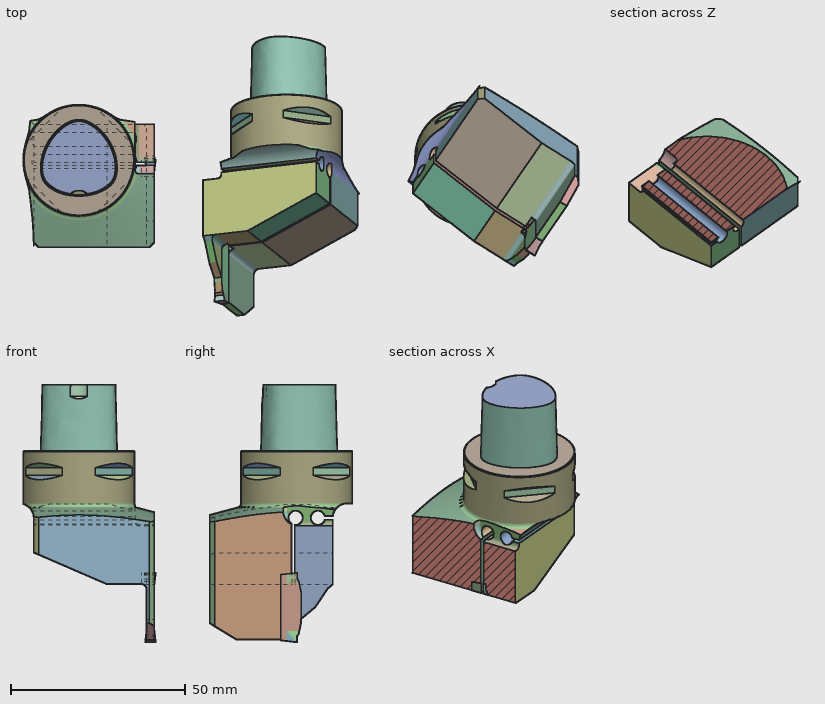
import cadquery as cq
import math


shank_height = 19.0
shank_width = 22.0
shank_lobe = 0.7
shank_taper = 1 / 40
curve_points = 72

notch_radius = 3.4
notch_inner_y = -8.66
notch_depth = 3.35
drill_tip_slope = math.radians(31)

flange_radius = 16.0
flange_height = 15.15
flange_chamfer = 0.25
groove_floor_radius = 14.15
groove_mid_z = -5.95
groove_floor_width = 2.1
groove_mouth_width = 4.7

cone_slope = math.radians(15)
neck_fillet = 1.15
head_left = -13.0
head_right = 21.7
head_front = -25.0
head_back = 10.4
head_bottom = -38.3
flare_radius = 4.0
corner_chamfer = 1.45
slope_start_z = -29.2
slope_end_x = 8.0

plate_left = 19.4
plate_bottom = -54.2
plate_fillet = 1.5
plate_cut_y = -17.3
plate_cut_z = -49.5
jaw_knee_y = 8.9
jaw_knee_z = -39.6
jaw_bend_y = 5.35
jaw_bend_z = -44.9
jaw_tip_z = -48.3

joint_z = -19.25
joint_radius = 2.02
outer_hole_y = 6.1
inner_hole_y = -0.31
hinge_slot_width = 1.05
clamp_slot_left_y = -0.62
clamp_slot_right_y = -1.47

pocket_left = 16.1
pocket_front = -3.9
pocket_floor = -21.5
pocket_front_radius = 4.3
pocket_fillet = 1.1

insert_top = -35.0
insert_length = 20.0
insert_foot_y = -4.6
insert_crown_y = 1.25
rake_y = 0.12
rake_length = 1.7
shoulder_y = 0.6
shoulder_length = 2.4
crown_end_length = 5.5
end_relief = 0.55
cutting_width = 3.1
flare_length = 3.3
flank_end_y = -2.9

overrun = 5.0

insert_bottom = insert_top - insert_length
insert_mid_z = (insert_top + insert_bottom) / 2
insert_mid_x = (plate_left + head_right) / 2
insert_thickness = head_right - plate_left


def box(x0, x1, y0, y1, z0, z1):
    """Box between two opposite corners."""
    return cq.Workplane("XY").box(x1 - x0, y1 - y0, z1 - z0, centered=False).translate((x0, y0, z0))


def extrude_x(outline, x0, x1):
    """Extrude an outline of the YZ plane from x0 to x1."""
    return outline.extrude(x1 - x0).translate((x0, 0, 0))


def extrude_y(outline, y0, y1):
    """Extrude an outline of the XZ plane from y0 to y1."""
    return outline.extrude(y0 - y1).translate((0, y0, 0))




def lobe_curve(mean_radius):
    """Points of the three-lobed curve whose support distance is R + e cos(3a), one lobe on +Y."""
    points = []
    for i in range(curve_points):
        angle = 2 * math.pi * i / curve_points
        phase = 3 * (angle - math.pi / 2)
        support = mean_radius + shank_lobe * math.cos(phase)
        slope = -3 * shank_lobe * math.sin(phase)
        x = support * math.cos(angle) - slope * math.sin(angle)
        y = support * math.sin(angle) + slope * math.cos(angle)
        points.append((x, y))
    return points


def make_shank():
    base_radius = shank_width / 2
    top_radius = base_radius - shank_taper * shank_height
    shank = (
        cq.Workplane("XY")
        .spline(lobe_curve(base_radius), periodic=True).close()
        .workplane(offset=shank_height)
        .spline(lobe_curve(top_radius), periodic=True).close()
        .loft(ruled=True)
    )
    return shank.cut(make_notch())


def make_notch():
    """Vertical drill shape with a conical tip."""
    wall_end = shank_height - notch_depth
    tip = wall_end - notch_radius * math.tan(drill_tip_slope)
    drill = (
        cq.Workplane("XZ")
        .moveTo(0, tip)
        .lineTo(notch_radius, wall_end)
        .lineTo(notch_radius, shank_height + overrun)
        .lineTo(0, shank_height + overrun)
        .close()
        .revolve(360, (0, 0), (0, 1))
    )
    return drill.translate((0, notch_inner_y - notch_radius, 0))


def make_flange():
    flange = cq.Workplane("XY").circle(flange_radius).extrude(-flange_height)
    flange = flange.faces(">Z").edges().chamfer(flange_chamfer)
    for i in range(4):
        flange = flange.cut(make_groove().rotate((0, 0, 0), (0, 0, 1), 45 + 90 * i))
    return flange


def make_groove():
    """Straight trapezoidal groove across the +X side of the flange."""
    depth = flange_radius - groove_floor_radius
    widening = (groove_mouth_width - groove_floor_width) / 2 / depth
    outer_half = groove_mouth_width / 2 + widening * overrun
    outer_x = flange_radius + overrun
    floor_half = groove_floor_width / 2
    outline = cq.Workplane("XZ").polyline([
        (groove_floor_radius, groove_mid_z - floor_half),
        (outer_x, groove_mid_z - outer_half),
        (outer_x, groove_mid_z + outer_half),
        (groove_floor_radius, groove_mid_z + floor_half),
    ]).close()
    return extrude_y(outline, -flange_radius, flange_radius)




def make_cone_envelope():
    """Revolved space below the flange: a quarter-round concave fillet above a shallow cone."""
    far_radius = 40.0
    base_z = insert_bottom - overrun
    fillet_end_radius = flange_radius + neck_fillet
    fillet_end_z = -flange_height - neck_fillet
    far_z = fillet_end_z - (far_radius - fillet_end_radius) * math.tan(cone_slope)
    return (
        cq.Workplane("XZ")
        .moveTo(0, -flange_height)
        .lineTo(flange_radius, -flange_height)
        .radiusArc((fillet_end_radius, fillet_end_z), -neck_fillet)
        .lineTo(far_radius, far_z)
        .lineTo(far_radius, base_z)
        .lineTo(0, base_z)
        .close()
        .revolve(360, (0, 0), (0, 1))
    )


def flared_edge(plane, face, outward):
    """Outline of the space outside a vertical face that flares outward in an arc under the flange."""
    arc_start_z = -flange_height - flare_radius
    bend = flare_radius * math.sqrt(0.5)
    center = face + outward * flare_radius
    base_z = insert_bottom - overrun
    return (
        cq.Workplane(plane)
        .moveTo(face, base_z)
        .lineTo(face, arc_start_z)
        .threePointArc((center - outward * bend, arc_start_z + bend), (center, -flange_height))
        .lineTo(center, base_z)
        .close()
    )


def make_front_outline():
    """XZ outline of the head and its hanging plate, as wide as the flares reach."""
    return (
        cq.Workplane("XZ")
        .moveTo(head_left - flare_radius, -flange_height)
        .lineTo(head_left - flare_radius, slope_start_z)
        .lineTo(head_left, slope_start_z)
        .lineTo(slope_end_x, head_bottom)
        .lineTo(plate_left - plate_fillet, head_bottom)
        .radiusArc((plate_left, head_bottom - plate_fillet), plate_fillet)
        .lineTo(plate_left, plate_bottom)
        .lineTo(head_right, plate_bottom)
        .lineTo(head_right, -flange_height)
        .close()
    )


def make_side_outline():
    """YZ outline of the head, the support plate below the insert and the jaw plate above it."""
    flare_end = head_back + flare_radius
    return cq.Workplane("YZ").polyline([
        (head_front, -flange_height),
        (flare_end, -flange_height),
        (flare_end, head_bottom),
        (head_back, head_bottom),
        (jaw_knee_y, jaw_knee_z),
        (jaw_bend_y, jaw_bend_z),
        (insert_crown_y, jaw_tip_z),
        (insert_foot_y, plate_bottom),
        (plate_cut_y, plate_bottom),
        (head_front, plate_cut_z),
    ]).close()


def make_corner_cut(x, inward):
    """Vertical chamfer of a -Y corner of the head."""
    return (
        cq.Workplane("XY")
        .polyline([
            (x, head_front),
            (x + inward * corner_chamfer, head_front),
            (x, head_front + corner_chamfer),
        ])
        .close()
        .extrude(insert_bottom)
    )


def make_pocket():
    """Space above the jaw at the +X side, with a rounded front wall."""
    ceiling = -flange_height
    arc_top = pocket_floor + pocket_front_radius
    back = head_back + flare_radius + overrun
    outline = (
        cq.Workplane("YZ")
        .moveTo(back, ceiling)
        .lineTo(pocket_front, ceiling)
        .lineTo(pocket_front, arc_top)
        .radiusArc((pocket_front + pocket_front_radius, pocket_floor), -pocket_front_radius)
        .lineTo(back, pocket_floor)
        .close()
    )
    pocket = extrude_x(outline, pocket_left, head_right + overrun)
    return pocket.faces("<X").edges().fillet(pocket_fillet)


def cut_clamping_joint(head):
    """Cut the two cross holes, the slot above the jaw and the slot down to the insert."""
    x0 = head_left - overrun
    x1 = head_right + overrun
    holes = cq.Workplane("YZ").pushPoints([(outer_hole_y, joint_z), (inner_hole_y, joint_z)])
    hinge_half = hinge_slot_width / 2
    hinge_back = head_back + flare_radius
    head = head.cut(extrude_x(holes.circle(joint_radius), x0, x1))
    head = head.cut(box(x0, x1, outer_hole_y, hinge_back, joint_z - hinge_half, joint_z + hinge_half))
    slot_end = head_bottom - plate_fillet
    return head.cut(box(x0, x1, clamp_slot_right_y, clamp_slot_left_y, slot_end, joint_z))


def make_head():
    flare_end = head_back + flare_radius
    head = extrude_y(make_front_outline(), head_front, flare_end)
    head = head.intersect(extrude_x(make_side_outline(), head_left - flare_radius, head_right))
    head = head.cut(extrude_y(flared_edge("XZ", head_left, -1), head_front, flare_end))
    head = head.cut(extrude_x(flared_edge("YZ", head_back, 1), head_left - flare_radius, head_right))
    head = head.intersect(make_cone_envelope())
    head = head.cut(make_corner_cut(head_left, 1))
    head = head.cut(make_corner_cut(head_right, -1))
    head = head.cut(make_pocket())
    head = cut_clamping_joint(head)
    seat_left = plate_left - plate_fillet
    return head.cut(extrude_x(make_insert_outline(), seat_left, head_right))


def make_holder():
    return make_flange().union(make_shank()).union(make_head()).solids()




def make_insert_outline():
    """YZ outline of the insert: a raised crown that steps down to the rake face at both ends."""
    upper_end = [
        (insert_foot_y, insert_top - end_relief),
        (rake_y, insert_top),
        (rake_y, insert_top - rake_length),
        (shoulder_y, insert_top - shoulder_length),
        (insert_crown_y, insert_top - crown_end_length),
    ]
    lower_end = [(y, 2 * insert_mid_z - z) for y, z in reversed(upper_end)]
    return cq.Workplane("YZ").polyline(upper_end + lower_end).close()


def make_cutting_ends():
    """Space of the two cutting ends, which widen toward the edges and narrow toward the foot."""
    half_body = insert_thickness / 2
    half_edge = cutting_width / 2
    waist = insert_length / 2 - flare_length
    half_length = insert_length / 2
    widening = cq.Workplane("XZ").polyline([
        (half_edge, half_length),
        (half_body, waist),
        (half_body, -waist),
        (half_edge, -half_length),
        (-half_edge, -half_length),
        (-half_body, -waist),
        (-half_body, waist),
        (-half_edge, half_length),
    ]).close()
    ends = extrude_y(widening, insert_foot_y, insert_crown_y)
    flanks = cq.Workplane("XY").polyline([
        (half_body, insert_foot_y),
        (half_body, flank_end_y),
        (half_edge, rake_y),
        (half_edge, insert_crown_y),
        (-half_edge, insert_crown_y),
        (-half_edge, rake_y),
        (-half_body, flank_end_y),
        (-half_body, insert_foot_y),
    ]).close().extrude(half_length, both=True)
    return ends.intersect(flanks).translate((insert_mid_x, 0, insert_mid_z))


def make_insert():
    half_edge = cutting_width / 2
    blank = extrude_x(make_insert_outline(), insert_mid_x - half_edge, insert_mid_x + half_edge)
    return blank.intersect(make_cutting_ends())


holder = make_holder()
insert = make_insert()
result = cq.Compound.makeCompound([holder.val(), insert.val()])